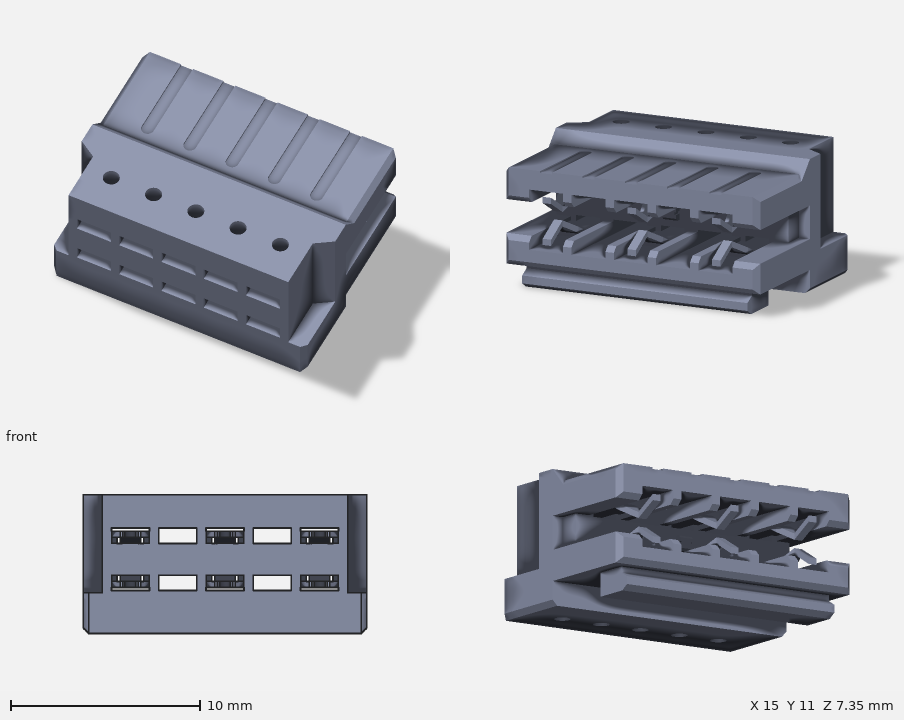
import cadquery as cq

WIDTH = 15.0
LENGTH = 11.0
HEIGHT = 7.35
EDGE_CHAMFER = 0.3

BODY_LENGTH = 4.8
RAMP = 0.7
UPPER_ARM_TOP = HEIGHT - RAMP
UPPER_ARM_BOTTOM = 4.82
LOWER_ARM_TOP = 2.98
LOWER_ARM_BOTTOM = 1.3

SIDE_RECESS_DEPTH = 1.0
SIDE_RECESS_FLOOR = 2.17
SIDE_RECESS_INNER_LENGTH = 2.9
SIDE_RECESS_OUTER_LENGTH = 3.55

PITCH = 2.5
POSITIONS = [PITCH * i for i in range(-2, 3)]
LOADED_POSITIONS = POSITIONS[::2]

ROW_MIRROR_Z = 3.925
CHANNEL_WIDTH = 2.0
CHANNEL_HEIGHT = 0.8
CHANNEL_START = 0.845
CHANNEL_END = CHANNEL_START + CHANNEL_HEIGHT

PROBE_HOLE_DIAMETER = 0.9
PROBE_HOLE_Y = 2.06

GROOVE_WIDTH = 0.7
GROOVE_END_Y = 6.0
GROOVE_DEPTH = 0.1

BRIDGE_WIDTH = 13.7
BRIDGE_END_Y = 6.02
BOSS_CENTRE_Z = 3.93
BOSS_WIDTH = 0.82
BOSS_HEIGHT = 0.82
BOSS_LENGTH = 0.4
BOSS_CHAMFER = 0.13
BOSS_GROOVE_HEIGHT = 0.15
BOSS_GROOVE_DEPTH = 0.1

LATCH_WIDTH = 13.3
LATCH_START_Y = 8.02
LATCH_SHOULDER_Y = 10.0
LATCH_NOSE_Y = 10.52
LATCH_SHOULDER_Z = 0.98
LATCH_NOSE_TOP = 0.7
LATCH_NOSE_BOTTOM = 0.27
LATCH_TOE_Y = 10.08

CONTACT_START_Y = 0.85
CONTACT_END_Y = 8.0
PLATE_THICKNESS = 0.33
PLATE_CLEARANCE = 0.15
TINE_TIP_INNER = 0.4
TINE_TIP_OUTER = 0.55
TINE_INNER_BEVEL_LENGTH = 0.5
TINE_OUTER_BEVEL_LENGTH = 0.7
FORK_SLOT_WIDTH = 0.58
FORK_SLOT_END_Y = 3.5
RAIL_WIDTH = 0.3
TONGUE_ROOT_WIDTH = 1.1
TONGUE_TIP_WIDTH = 0.5
TONGUE_TAPER_START_Y = 8.25
TONGUE_THICKNESS = 0.34
TONGUE_APEX_Y = 9.54
TONGUE_APEX = 0.225
TONGUE_TIP_Y = 10.9
TONGUE_REAR_SLOPE = 0.47
TONGUE_FRONT_SLOPE = 0.55


def block(x_range, y_range, z_range):
    """Box spanning the given coordinate ranges."""
    size = [end - start for start, end in (x_range, y_range, z_range)]
    corner = (x_range[0], y_range[0], z_range[0])
    return cq.Workplane("XY").box(*size, centered=False).translate(corner)


def span(width, centre=0.0):
    """Range of the given width about a centre."""
    return (centre - width / 2, centre + width / 2)


def extrude_side_profile(points, width, centre=0.0):
    """Prism of a closed Y-Z outline, centred in X on the given place."""
    return cq.Workplane("YZ", origin=(centre, 0, 0)).polyline(points).close().extrude(width / 2, both=True)


def mirror_to_lower_row(solid):
    """Copy of an upper-row shape, reflected about the mirror plane of the rows."""
    return solid.mirror("XY", (0, 0, ROW_MIRROR_Z))


def make_body():
    profile = [(0, 0), (BODY_LENGTH, 0), (BODY_LENGTH, HEIGHT), (0, HEIGHT)]
    body = extrude_side_profile(profile, WIDTH)
    body = body.faces("<Y").edges("|Z").chamfer(EDGE_CHAMFER)
    return body.faces("<Z").edges("|Y").chamfer(EDGE_CHAMFER)


def cut_side_recesses(body):
    inner_x = WIDTH / 2 - SIDE_RECESS_DEPTH
    recess = (
        cq.Workplane("XY", origin=(0, 0, SIDE_RECESS_FLOOR))
        .moveTo(inner_x, 0)
        .lineTo(inner_x, SIDE_RECESS_INNER_LENGTH)
        .lineTo(WIDTH / 2, SIDE_RECESS_OUTER_LENGTH)
        .lineTo(WIDTH / 2, 0)
        .close()
        .extrude(HEIGHT - SIDE_RECESS_FLOOR)
    )
    return body.cut(recess).cut(recess.mirror("YZ"))


def make_arm(bottom, top):
    arm = block(span(WIDTH), (BODY_LENGTH, LENGTH), (bottom, top))
    return arm.faces(">Y").edges("|Z").chamfer(EDGE_CHAMFER)


def make_upper_arm():
    arm = make_arm(UPPER_ARM_BOTTOM, UPPER_ARM_TOP)
    arm = arm.faces(">Y").edges("<Z").chamfer(EDGE_CHAMFER)
    for side in (1, -1):
        edge_x = side * WIDTH / 2
        chamfer = (
            cq.Workplane("XZ", origin=(0, BODY_LENGTH, 0))
            .moveTo(edge_x, UPPER_ARM_TOP)
            .lineTo(edge_x - side * EDGE_CHAMFER, UPPER_ARM_TOP)
            .lineTo(edge_x, UPPER_ARM_TOP - EDGE_CHAMFER)
            .close()
            .extrude(BODY_LENGTH - LENGTH)
        )
        arm = arm.cut(chamfer)
    ramp_profile = [
        (BODY_LENGTH, HEIGHT),
        (BODY_LENGTH + RAMP + EDGE_CHAMFER, UPPER_ARM_TOP - EDGE_CHAMFER),
        (BODY_LENGTH, UPPER_ARM_TOP - EDGE_CHAMFER),
    ]
    return arm.union(extrude_side_profile(ramp_profile, WIDTH))


def make_lower_arm():
    arm = make_arm(LOWER_ARM_BOTTOM, LOWER_ARM_TOP)
    tip_edges = arm.faces(">Y").edges("|X")
    return tip_edges.chamfer(EDGE_CHAMFER)


def make_bridge():
    return block(span(BRIDGE_WIDTH), (BODY_LENGTH, BRIDGE_END_Y), (LOWER_ARM_TOP, UPPER_ARM_BOTTOM))


def make_boss():
    """Boss on the end of the bridge, with a shallow groove along each side."""
    y_range = (BRIDGE_END_Y, BRIDGE_END_Y + BOSS_LENGTH)
    boss = block(span(BOSS_WIDTH), y_range, span(BOSS_HEIGHT, BOSS_CENTRE_Z))
    boss = boss.faces(">Y").edges("|X").chamfer(BOSS_CHAMFER)
    for side in (1, -1):
        groove_x = side * (BOSS_WIDTH - BOSS_GROOVE_DEPTH) / 2
        groove_z = span(BOSS_GROOVE_HEIGHT, BOSS_CENTRE_Z)
        boss = boss.cut(block(span(BOSS_GROOVE_DEPTH, groove_x), y_range, groove_z))
    return boss


def make_latch():
    profile = [
        (LATCH_START_Y, 0),
        (LATCH_TOE_Y, 0),
        (LATCH_NOSE_Y, LATCH_NOSE_BOTTOM),
        (LATCH_NOSE_Y, LATCH_NOSE_TOP),
        (LATCH_SHOULDER_Y, LATCH_SHOULDER_Z),
        (LATCH_SHOULDER_Y, LOWER_ARM_BOTTOM),
        (LATCH_START_Y, LOWER_ARM_BOTTOM),
    ]
    return extrude_side_profile(profile, LATCH_WIDTH)


def make_channel(x):
    z_range = (ROW_MIRROR_Z + CHANNEL_START, ROW_MIRROR_Z + CHANNEL_END)
    return block(span(CHANNEL_WIDTH, x), (0, LENGTH), z_range)


def make_probe_hole(x):
    top = cq.Workplane("XY", origin=(x, PROBE_HOLE_Y, HEIGHT))
    return top.circle(PROBE_HOLE_DIAMETER / 2).extrude(-HEIGHT)


def make_groove(x):
    radius = GROOVE_WIDTH / 2
    return (
        cq.Workplane("XY", origin=(x, 0, UPPER_ARM_TOP))
        .moveTo(-radius, LENGTH)
        .lineTo(-radius, GROOVE_END_Y + radius)
        .threePointArc((0, GROOVE_END_Y), (radius, GROOVE_END_Y + radius))
        .lineTo(radius, LENGTH)
        .close()
        .extrude(-GROOVE_DEPTH)
    )


def make_fork_plate(x, bottom):
    """Plate whose wire-entry end is a two-tine fork with bevelled tips and a round-ended slot."""
    half_plate = CHANNEL_WIDTH / 2
    half_slot = FORK_SLOT_WIDTH / 2
    outer_bevel_y = CONTACT_START_Y + TINE_OUTER_BEVEL_LENGTH
    inner_bevel_y = CONTACT_START_Y + TINE_INNER_BEVEL_LENGTH
    slot_arc_y = FORK_SLOT_END_Y - half_slot
    return (
        cq.Workplane("XY", origin=(x, 0, bottom))
        .moveTo(-half_plate, CONTACT_END_Y)
        .lineTo(-half_plate, outer_bevel_y)
        .lineTo(-TINE_TIP_OUTER, CONTACT_START_Y)
        .lineTo(-TINE_TIP_INNER, CONTACT_START_Y)
        .lineTo(-half_slot, inner_bevel_y)
        .lineTo(-half_slot, slot_arc_y)
        .threePointArc((0, FORK_SLOT_END_Y), (half_slot, slot_arc_y))
        .lineTo(half_slot, inner_bevel_y)
        .lineTo(TINE_TIP_INNER, CONTACT_START_Y)
        .lineTo(TINE_TIP_OUTER, CONTACT_START_Y)
        .lineTo(half_plate, outer_bevel_y)
        .lineTo(half_plate, CONTACT_END_Y)
        .close()
        .extrude(PLATE_THICKNESS)
    )


def make_tongue(x, plate_bottom):
    """V-shaped spring, narrowing to its apex, that dips into the gap and returns into the arm."""
    apex_z = ROW_MIRROR_Z + TONGUE_APEX
    root_y = TONGUE_APEX_Y - (plate_bottom - apex_z) / TONGUE_REAR_SLOPE
    tip_z = apex_z + (TONGUE_TIP_Y - TONGUE_APEX_Y) * TONGUE_FRONT_SLOPE
    inner_apex_z = apex_z + TONGUE_THICKNESS
    inner_root_y = TONGUE_APEX_Y - (plate_bottom + PLATE_THICKNESS - inner_apex_z) / TONGUE_REAR_SLOPE
    profile = [
        (root_y, plate_bottom),
        (TONGUE_APEX_Y, apex_z),
        (TONGUE_TIP_Y, tip_z),
        (TONGUE_TIP_Y, tip_z + TONGUE_THICKNESS),
        (TONGUE_APEX_Y, inner_apex_z),
        (inner_root_y, plate_bottom + PLATE_THICKNESS),
    ]
    half_root = TONGUE_ROOT_WIDTH / 2
    half_tip = TONGUE_TIP_WIDTH / 2
    plan = (
        cq.Workplane("XY", origin=(x, 0, 0))
        .moveTo(-half_root, 0)
        .lineTo(-half_root, TONGUE_TAPER_START_Y)
        .lineTo(-half_tip, TONGUE_APEX_Y)
        .lineTo(-half_tip, LENGTH)
        .lineTo(half_tip, LENGTH)
        .lineTo(half_tip, TONGUE_APEX_Y)
        .lineTo(half_root, TONGUE_TAPER_START_Y)
        .lineTo(half_root, 0)
        .close()
        .extrude(HEIGHT)
    )
    return extrude_side_profile(profile, TONGUE_ROOT_WIDTH, x).intersect(plan)


def make_contact(x):
    """Upper-row contact: forked plate, a rail along each side and a spring tongue."""
    plate_bottom = ROW_MIRROR_Z + CHANNEL_END - PLATE_CLEARANCE - PLATE_THICKNESS
    contact = make_fork_plate(x, plate_bottom).union(make_tongue(x, plate_bottom))
    rail_y = (FORK_SLOT_END_Y, BRIDGE_END_Y)
    rail_z = (ROW_MIRROR_Z + CHANNEL_START, plate_bottom)
    for side in (1, -1):
        rail_x = x + side * (CHANNEL_WIDTH - RAIL_WIDTH) / 2
        contact = contact.union(block(span(RAIL_WIDTH, rail_x), rail_y, rail_z))
    return contact


housing = cut_side_recesses(make_body())
for addition in (make_upper_arm(), make_lower_arm(), make_bridge(), make_boss(), make_latch()):
    housing = housing.union(addition)
for position in POSITIONS:
    channel = make_channel(position)
    housing = housing.cut(channel).cut(mirror_to_lower_row(channel))
    housing = housing.cut(make_probe_hole(position)).cut(make_groove(position))
for position in LOADED_POSITIONS:
    spring_contact = make_contact(position)
    housing = housing.union(spring_contact).union(mirror_to_lower_row(spring_contact))

result = housing